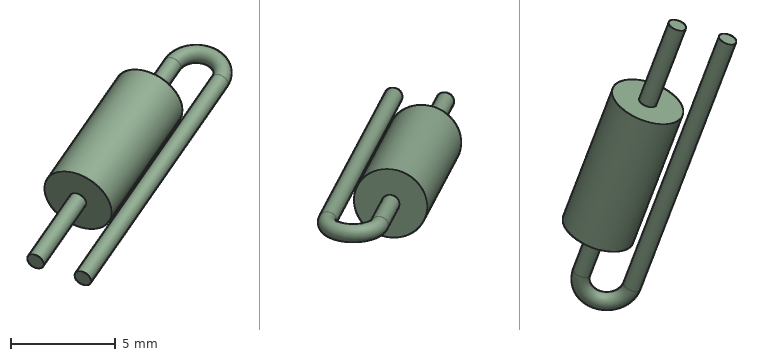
import cadquery as cq

total_length = 16.47
body_diameter = 3.6
body_length = 7.65
lead_diameter = 0.89
lead_pitch = 2.54
lower_lead_length = 4.58

bend_radius = lead_pitch / 2
bend_start = total_length - bend_radius - lead_diameter / 2


def make_body():
    """Plain cylinder along +Y."""
    base = cq.Workplane("XZ", origin=(0, lower_lead_length, 0))
    return base.circle(body_diameter / 2).extrude(-body_length)


def make_lead():
    """Lead through the body, turned back by a half-circle bend to run beside it."""
    path = (
        cq.Workplane("XY")
        .lineTo(0, bend_start)
        .threePointArc((bend_radius, bend_start + bend_radius), (lead_pitch, bend_start))
        .lineTo(lead_pitch, 0)
    )
    return cq.Workplane("XZ").circle(lead_diameter / 2).sweep(path)


result = make_body().union(make_lead())